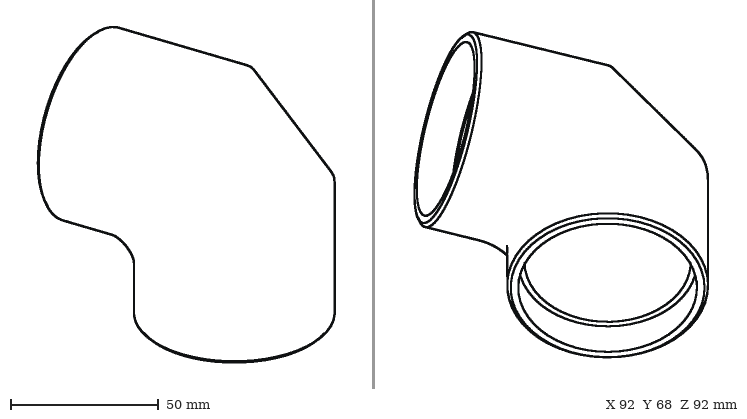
import cadquery as cq
import math

overall = 92.0
outer_radius = 34.0
body_bend_radius = 37.3
bore_bend_radius = 29.2
mitre_setback = 17.0
joint_angle = 45.0
mitre_fillet = 3.2
bore_diameter = 56.3
socket_diameter = 60.5
socket_depth = 12.4
mouth_chamfer = 1.2

axis = overall - outer_radius
bend_start = axis - body_bend_radius
mitre_start = axis - mitre_setback


def arc_middle(radius):
    """X and Z of the middle of a centre line arc that is tangent to both legs."""
    return axis - radius + radius * math.cos(math.radians(45))


def bent_path(radius):
    """Centre line from the X mouth to the Z mouth, with a round corner."""
    start = axis - radius
    middle = arc_middle(radius)
    return (
        cq.Workplane("XZ")
        .moveTo(0, axis)
        .lineTo(start, axis)
        .threePointArc((middle, middle), (axis, start))
        .lineTo(axis, 0)
    )


def mitred_path():
    """Centre line from the X mouth to the Z mouth, with two 45 degree joints."""
    return cq.Workplane("XZ").polyline(
        [(0, axis), (mitre_start, axis), (axis, mitre_start), (axis, 0)]
    )


def half_disc(side):
    """Half section at the X mouth: side is 1 for the outer half, -1 for the inner."""
    return (
        cq.Workplane("YZ", origin=(0, 0, axis))
        .moveTo(-outer_radius, 0)
        .threePointArc((0, side * outer_radius), (outer_radius, 0))
        .close()
    )


def outer_half():
    """Mitred back of the elbow with rounded joints."""
    shell = half_disc(1).sweep(mitred_path(), transition="right")
    joint_reach = outer_radius * math.tan(math.radians(joint_angle / 2))
    joint_tip = mitre_start + joint_reach
    back = axis + outer_radius
    for tip in [(joint_tip, 0, back), (back, 0, joint_tip)]:
        shell = shell.edges(cq.selectors.NearestToPointSelector(tip)).fillet(mitre_fillet)
    return shell


def flat_web():
    """Fills the space between the round and the mitred centre lines."""
    middle = arc_middle(body_bend_radius)
    return (
        cq.Workplane("XZ")
        .moveTo(bend_start, axis)
        .lineTo(mitre_start, axis)
        .lineTo(axis, mitre_start)
        .lineTo(axis, bend_start)
        .threePointArc((middle, middle), (bend_start, axis))
        .close()
        .extrude(outer_radius, both=True)
    )


def bore():
    """Bent bore with a wider socket at each mouth."""
    path = bent_path(bore_bend_radius)
    passage = cq.Workplane("YZ", origin=(0, 0, axis)).circle(bore_diameter / 2).sweep(path)
    socket_x = cq.Workplane("YZ", origin=(0, 0, axis)).circle(socket_diameter / 2).extrude(socket_depth)
    socket_z = cq.Workplane("XY", origin=(axis, 0, 0)).circle(socket_diameter / 2).extrude(socket_depth)
    return passage.union(socket_x).union(socket_z)


inner_half = half_disc(-1).sweep(bent_path(body_bend_radius))
body = outer_half().union(inner_half).union(flat_web())
body = body.faces("<X or <Z").edges().chamfer(mouth_chamfer)
result = body.cut(bore())